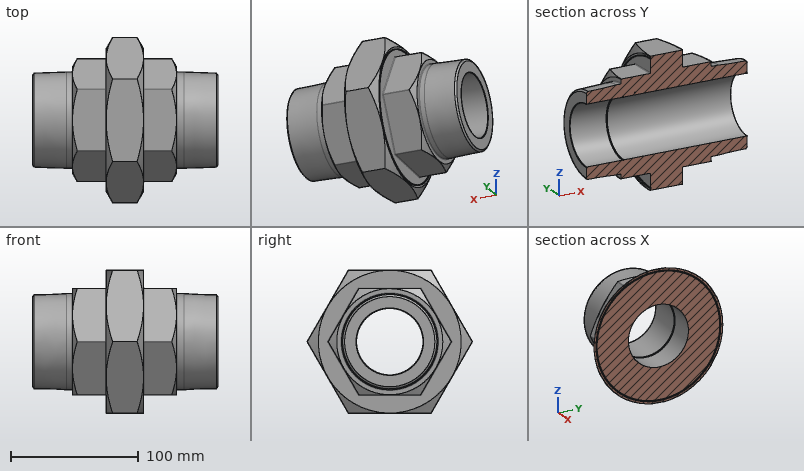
import cadquery as cq
import math

length = 145.0
left_hex_start = 31.2
nut_start = 57.5
nut_end = 86.9
right_hex_end = 112.7

hex_flats = 83.4
nut_flats = 112.0
hex_cone_radius = 41.5
nut_cone_radius = 55.8
cone_angle = 30.0
corner_round = 0.5
root_round = 0.5

pipe_radius = 37.7
pipe_tip_radius = 36.8
taper_length = 26.7
tip_chamfer_length = 1.3
tip_face_radius = 35.2

bore_radius = 26.0
mouth_chamfer = 0.5
bore_groove_start = 33.0
bore_groove_width = 0.7
bore_groove_depth = 0.6

joint_outer_radius = 54.2
joint_inner_radius = 53.6
joint_depth = 0.6


def cylinder(radius, start, end):
    return cq.Workplane("YZ", origin=(start, 0, 0)).circle(radius).extrude(end - start)


def across_corners(flats):
    return flats / math.cos(math.pi / 6)


def hexagon(flats, start, end):
    """Hexagonal prism along X with two corners on the Y axis."""
    corners = across_corners(flats)
    return cq.Workplane("YZ", origin=(start, 0, 0)).polygon(6, corners).extrude(end - start)


def turned(points):
    """Solid of revolution about X from (x, radius) points."""
    return cq.Workplane("XY").polyline(points).close().revolve(360, (0, 0, 0), (1, 0, 0))


def cone_envelope(face_radius, start, end, slope_left, slope_right):
    """Turned blank whose sloped ends fall back from the face circle."""
    blank_radius = across_corners(nut_flats) / 2
    rise = blank_radius - face_radius
    run = rise * math.tan(math.radians(cone_angle))
    profile = [(start, 0)]
    if slope_left:
        profile += [(start, face_radius), (start + run, blank_radius)]
    else:
        profile += [(start, blank_radius)]
    if slope_right:
        profile += [(end - run, blank_radius), (end, face_radius)]
    else:
        profile += [(end, blank_radius)]
    return turned(profile + [(end, 0)])


def end_hexagon(start, end, chamfer_left):
    prism = hexagon(hex_flats, start, end).edges("|X").fillet(corner_round)
    return prism.intersect(cone_envelope(hex_cone_radius, start, end, chamfer_left, not chamfer_left))


def nut():
    prism = hexagon(nut_flats, nut_start, nut_end)
    return prism.intersect(cone_envelope(nut_cone_radius, nut_start, nut_end, True, True))


def pipe_profile():
    tip = [
        (0, tip_face_radius),
        (tip_chamfer_length, pipe_tip_radius),
        (taper_length, pipe_radius),
    ]
    mirrored_tip = [(length - x, radius) for x, radius in reversed(tip)]
    return [(0, 0)] + tip + mirrored_tip + [(length, 0)]


def bore():
    cutter = cylinder(bore_radius, 0, length).union(
        cylinder(
            bore_radius + bore_groove_depth,
            bore_groove_start,
            bore_groove_start + bore_groove_width,
        )
    )
    mouth_radius = bore_radius + mouth_chamfer
    for face, inward in ((0, 1), (length, -1)):
        mouth = turned([
            (face, 0),
            (face, mouth_radius),
            (face + inward * mouth_chamfer, bore_radius),
            (face + inward * mouth_chamfer, 0),
        ])
        cutter = cutter.union(mouth)
    return cutter


def joint_ring():
    end = nut_start + joint_depth
    return cylinder(joint_outer_radius, nut_start, end).cut(cylinder(joint_inner_radius, nut_start, end))


def edges_near_plane(x, radius):
    """Box selector for edges lying in the plane at x and wholly within the given radius."""
    margin = 0.07
    return cq.selectors.BoxSelector(
        (x - margin, -radius, -radius), (x + margin, radius, radius), boundingbox=True
    )


body = turned(pipe_profile())
body = body.union(end_hexagon(left_hex_start, nut_start, True))
body = body.union(end_hexagon(nut_end, right_hex_end, False))
body = body.union(nut())

pipe_root_limit = pipe_radius + root_round
hex_root_limit = joint_inner_radius
for x, limit in (
    (left_hex_start, pipe_root_limit),
    (right_hex_end, pipe_root_limit),
    (nut_start, hex_root_limit),
    (nut_end, hex_root_limit),
):
    body = body.edges(edges_near_plane(x, limit)).fillet(root_round)

result = body.cut(bore()).cut(joint_ring())